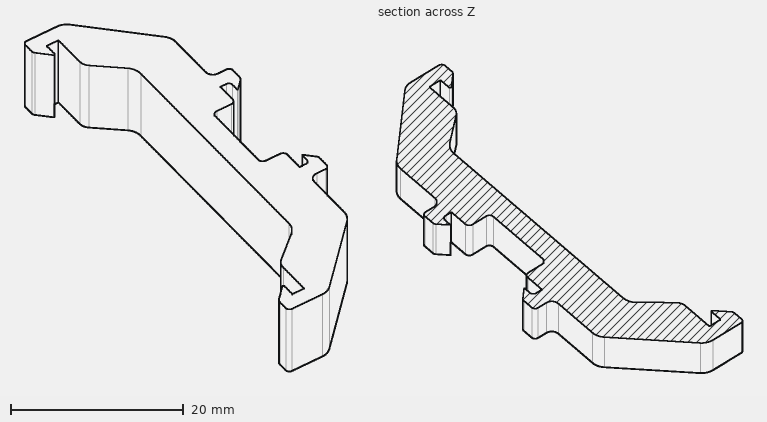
import cadquery as cq
import math

LENGTH = 54.2
DEPTH = 17.41
THICKNESS = 10.0
HALF_LENGTH = LENGTH / 2

LEG_HOOK_LEVEL = 1.95
LEG_SHELF_LEVEL = 3.6
ARCH_LEVEL = 8.3
RECESS_LEVEL = 11.4
SHOULDER_LEVEL = 14.65
CLIP_HOOK_LEVEL = 16.0

LEG_WALL = 2.0
LEG_INNER_X = HALF_LENGTH - LEG_WALL
LEG_HOOK_TIP_X = HALF_LENGTH - 3.95
HAUNCH_OUTER_X = HALF_LENGTH - 7.0
HAUNCH_INNER_X = HALF_LENGTH - 11.0
SHOULDER_X = HALF_LENGTH - 9.05
CLIP_WALL = 2.0
CLIP_OUTER_X = 10.1
CLIP_INNER_X = CLIP_OUTER_X - CLIP_WALL
CLIP_HOOK_TIP_X = 6.52
RECESS_HALF_WIDTH = 5.0

FLANK_LEVEL = SHOULDER_LEVEL - (HALF_LENGTH - SHOULDER_X)
LEG_FOOT_X = LEG_HOOK_TIP_X + LEG_HOOK_LEVEL
CLIP_TOP_X = CLIP_HOOK_TIP_X + (DEPTH - CLIP_HOOK_LEVEL)

FLANK_RADIUS = 2.0
ARCH_RADIUS = 2.1
SHELF_RADIUS = 1.5
CLIP_ROOT_RADIUS = 1.0
LEG_NOSE_RADIUS = 0.6
RECESS_RADIUS = 0.6
SMALL_RADIUS = 0.5
LEG_TIP_RADIUS = 0.15
CLIP_TIP_RADIUS = 0.05
SHARP = 0.0

HALF_OUTLINE = [
    (HAUNCH_INNER_X, ARCH_LEVEL, ARCH_RADIUS),
    (HAUNCH_OUTER_X, LEG_SHELF_LEVEL, SHELF_RADIUS),
    (LEG_INNER_X, LEG_SHELF_LEVEL, SHARP),
    (LEG_INNER_X, LEG_HOOK_LEVEL, SHARP),
    (LEG_HOOK_TIP_X, LEG_HOOK_LEVEL, LEG_TIP_RADIUS),
    (LEG_FOOT_X, 0.0, LEG_NOSE_RADIUS),
    (HALF_LENGTH, 0.0, SMALL_RADIUS),
    (HALF_LENGTH, FLANK_LEVEL, FLANK_RADIUS),
    (SHOULDER_X, SHOULDER_LEVEL, FLANK_RADIUS),
    (CLIP_OUTER_X, SHOULDER_LEVEL, CLIP_ROOT_RADIUS),
    (CLIP_OUTER_X, DEPTH, SMALL_RADIUS),
    (CLIP_TOP_X, DEPTH, SMALL_RADIUS),
    (CLIP_HOOK_TIP_X, CLIP_HOOK_LEVEL, CLIP_TIP_RADIUS),
    (CLIP_INNER_X, CLIP_HOOK_LEVEL, SMALL_RADIUS),
    (CLIP_INNER_X, SHOULDER_LEVEL, SHARP),
    (RECESS_HALF_WIDTH, SHOULDER_LEVEL, RECESS_RADIUS),
    (RECESS_HALF_WIDTH, RECESS_LEVEL, RECESS_RADIUS),
]


def step_towards(start, end, distance):
    """Point at the given distance from start along the line to end."""
    span = math.dist(start, end)
    return tuple(s + (e - s) * distance / span for s, e in zip(start, end))


def rounded_corner(before, corner, after, radius):
    """Start, middle and end of the arc of this radius that rounds a corner."""
    unit_before = step_towards(corner, before, 1.0)
    unit_after = step_towards(corner, after, 1.0)
    bisector = tuple((a + b) / 2 for a, b in zip(unit_before, unit_after))
    half_angle = math.asin(math.dist(unit_before, unit_after) / 2)
    setback = radius / math.tan(half_angle)
    crown = radius / math.sin(half_angle) - radius
    return (
        step_towards(corner, before, setback),
        step_towards(corner, bisector, crown),
        step_towards(corner, after, setback),
    )


def half_bracket():
    """Extruded +X half, bounded by the symmetry plane."""
    first_point = (0.0, ARCH_LEVEL)
    last_point = (0.0, RECESS_LEVEL)
    points = [first_point] + [(x, y) for x, y, _ in HALF_OUTLINE] + [last_point]
    outline = cq.Workplane("XY").moveTo(*first_point)
    for index, (x, y, radius) in enumerate(HALF_OUTLINE, start=1):
        if radius == SHARP:
            outline = outline.lineTo(x, y)
            continue
        start, middle, end = rounded_corner(points[index - 1], (x, y), points[index + 1], radius)
        outline = outline.lineTo(*start).threePointArc(middle, end)
    return outline.lineTo(*last_point).close().extrude(THICKNESS)


def bracket():
    """Both halves joined across the symmetry plane."""
    half = half_bracket()
    return half.union(half.mirror("YZ")).clean()


result = bracket()